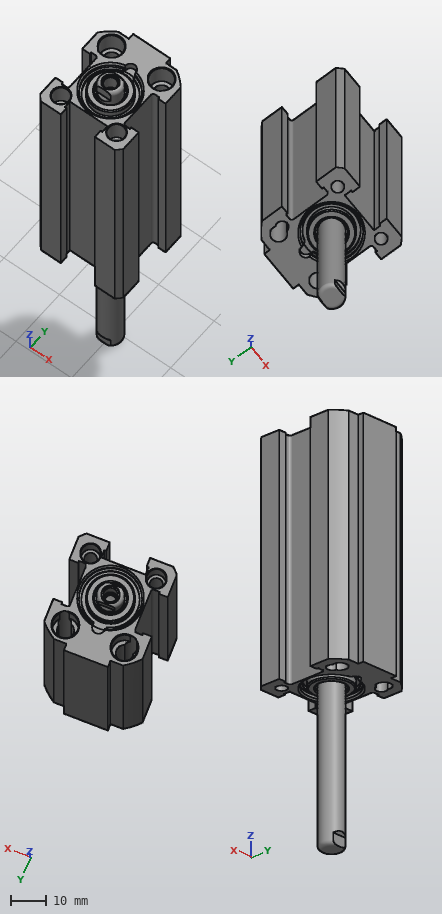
import cadquery as cq
import math

housing_length = 78.0
half_width = 15.0
shoulder_y = 17.0
tab_top_y = 19.0
corner_radius = 20.0
rod_top_reach = 4.5
rod_bottom_reach = 50.5
mid_height = housing_length / 2

slot_mouth_half = 6.15
slot_inner_half = 6.75
tab_half_width = 6.7
slot_lip = 2.7
side_slot_floor = 9.9
front_slot_floor = 10.0
slot_fillet = 0.8

bolt_offset = 10.0
bolt_diameter = 3.7
bolt_counterbore = 5.6
counterbore_depth = 7.0
counterbore_chamfer = 0.2
port_x = 9.0
port_y = 12.0
port_diameter = 4.9
port_counterbore = 7.5
port_chamfer = 0.25

piston_bore = 16.0
end_bore = 17.9
bore_mouth = 19.0
notch_diameter = 3.7
notch_y = 9.2
notch_depth = 2.5

ring_recess = 1.5
ring_thickness = 1.0
ring_groove_diameter = 19.0
ring_inner_diameter = 16.5
ring_gap = 4.0
collar_boss_diameter = 14.0
boss_chamfer = 0.4
collar_length = 12.0
collar_mouth_diameter = 9.2
collar_mouth_depth = 1.5
collar_mouth_chamfer = 0.4

rod_diameter = 8.0
rod_end_fillet = 1.3
flat_half_width = 3.1
flat_length = 3.6
cutter_margin = 1.0
socket_mouth_diameter = 5.2
socket_mouth_depth = 0.8
thread_diameter = 4.13
thread_depth = 6.0
pilot_diameter = 3.24
pilot_depth = 8.0
drill_point_angle = 118.0


def cylinder(diameter, bottom, top, x=0.0, y=0.0):
    """Upright cylinder between two heights."""
    return cq.Workplane("XY", origin=(x, y, bottom)).circle(diameter / 2).extrude(top - bottom)


def cone(bottom_diameter, top_diameter, bottom, top, x=0.0, y=0.0):
    """Upright cone frustum between two heights."""
    solid = cq.Solid.makeCone(
        bottom_diameter / 2, top_diameter / 2, top - bottom, cq.Vector(x, y, bottom), cq.Vector(0, 0, 1)
    )
    return cq.Workplane(solid)


def mirrored_end(shape):
    """The same shape at the opposite end of the housing."""
    return shape.mirror("XY", (0, 0, mid_height))


def housing_profile():
    """T-slotted section with round outer corners, extruded over the full length."""
    corner_y = math.sqrt(corner_radius**2 - half_width**2)
    shoulder_x = math.sqrt(corner_radius**2 - shoulder_y**2)
    diagonal = corner_radius * math.sqrt(0.5)
    lip_inner = half_width - slot_lip
    return (
        cq.Workplane("XY")
        .moveTo(0, tab_top_y)
        .lineTo(tab_half_width, tab_top_y)
        .lineTo(tab_half_width, shoulder_y)
        .lineTo(shoulder_x, shoulder_y)
        .threePointArc((diagonal, diagonal), (half_width, corner_y))
        .lineTo(half_width, slot_mouth_half)
        .lineTo(lip_inner, slot_mouth_half)
        .lineTo(lip_inner, slot_inner_half)
        .lineTo(side_slot_floor, slot_inner_half)
        .lineTo(side_slot_floor, -slot_inner_half)
        .lineTo(lip_inner, -slot_inner_half)
        .lineTo(lip_inner, -slot_mouth_half)
        .lineTo(half_width, -slot_mouth_half)
        .lineTo(half_width, -corner_y)
        .threePointArc((diagonal, -diagonal), (corner_y, -half_width))
        .lineTo(slot_mouth_half, -half_width)
        .lineTo(slot_mouth_half, -lip_inner)
        .lineTo(slot_inner_half, -lip_inner)
        .lineTo(slot_inner_half, -front_slot_floor)
        .lineTo(0, -front_slot_floor)
        .mirrorY()
        .extrude(housing_length)
    )


def round_side_slots(body):
    """Fillet the inner corners of the two side slots."""
    for side in (-1, 1):
        for end in (-1, 1):
            corner = (side * side_slot_floor, end * slot_inner_half, mid_height)
            body = body.edges(cq.selectors.NearestToPointSelector(corner)).fillet(slot_fillet)
    return body


def counterbore(diameter, chamfer, x, y):
    """Chamfered counterbore sunk from the top face."""
    pocket = cylinder(diameter, housing_length - counterbore_depth, housing_length, x, y)
    mouth = cone(diameter, diameter + 2 * chamfer, housing_length - chamfer, housing_length, x, y)
    return pocket.union(mouth)


def bore_end():
    """Ring groove, end bore, chamfered mouth and release notch at the top end."""
    collar_bottom = housing_length - ring_recess - ring_thickness - collar_length
    groove_top = housing_length - ring_recess
    mouth_chamfer = (bore_mouth - end_bore) / 2
    return (
        cylinder(end_bore, collar_bottom, housing_length)
        .union(cylinder(ring_groove_diameter, groove_top - ring_thickness, groove_top))
        .union(cone(end_bore, bore_mouth, housing_length - mouth_chamfer, housing_length))
        .union(cylinder(notch_diameter, housing_length - notch_depth, housing_length, y=notch_y))
    )


def make_housing():
    body = round_side_slots(housing_profile())
    for side in (-1, 1):
        for end in (-1, 1):
            body = body.cut(cylinder(bolt_diameter, 0, housing_length, side * bolt_offset, end * bolt_offset))
        body = body.cut(cylinder(port_diameter, 0, housing_length, side * port_x, port_y))
        body = body.cut(counterbore(bolt_counterbore, counterbore_chamfer, side * bolt_offset, -bolt_offset))
        body = body.cut(counterbore(port_counterbore, port_chamfer, side * port_x, port_y))
    body = body.cut(cylinder(piston_bore, 0, housing_length))
    return body.cut(bore_end()).cut(mirrored_end(bore_end()))


def make_collar():
    flange_top = housing_length - ring_recess - ring_thickness
    bottom = flange_top - collar_length
    mouth_wide = collar_mouth_diameter + 2 * collar_mouth_chamfer
    boss = cylinder(collar_boss_diameter, bottom, housing_length).faces(">Z").edges().chamfer(boss_chamfer)
    return (
        cylinder(end_bore, bottom, flange_top)
        .union(boss)
        .cut(cylinder(rod_diameter, bottom, housing_length))
        .cut(cylinder(collar_mouth_diameter, housing_length - collar_mouth_depth, housing_length))
        .cut(cone(collar_mouth_diameter, mouth_wide, housing_length - collar_mouth_chamfer, housing_length))
    )


def make_retaining_ring():
    top = housing_length - ring_recess
    bottom = top - ring_thickness
    gap = (
        cq.Workplane("XY", origin=(0, 0, bottom))
        .rect(ring_gap, ring_groove_diameter)
        .extrude(ring_thickness)
        .translate((0, ring_groove_diameter / 2, 0))
    )
    ring = cylinder(ring_groove_diameter, bottom, top).cut(cylinder(ring_inner_diameter, bottom, top))
    return ring.cut(gap)


def flat_cutter(end_height, direction):
    """Wedge that cuts one wrench flat running out at 45 degrees; direction points out of the rod end."""
    run_out = end_height - direction * flat_length
    clearance = rod_diameter / 2 - flat_half_width + cutter_margin
    return (
        cq.Workplane("YZ")
        .moveTo(flat_half_width, end_height)
        .lineTo(flat_half_width + clearance, end_height)
        .lineTo(flat_half_width + clearance, run_out - direction * clearance)
        .lineTo(flat_half_width, run_out)
        .close()
        .extrude(rod_diameter, both=True)
    )


def socket(top):
    """Counterbored threaded hole over a narrower pilot with a drill point."""
    pilot_bottom = top - pilot_depth
    point_height = pilot_diameter / 2 / math.tan(math.radians(drill_point_angle / 2))
    return (
        cylinder(pilot_diameter, pilot_bottom, top)
        .union(cylinder(thread_diameter, top - thread_depth, top))
        .union(cone(0, pilot_diameter, pilot_bottom - point_height, pilot_bottom))
        .union(cylinder(socket_mouth_diameter, top - socket_mouth_depth, top))
    )


def make_rod():
    top = housing_length + rod_top_reach
    bottom = -rod_bottom_reach
    rod = cylinder(rod_diameter, bottom, top).edges("%CIRCLE").fillet(rod_end_fillet)
    for end_height, direction in ((top, 1), (bottom, -1)):
        cutter = flat_cutter(end_height, direction)
        rod = rod.cut(cutter).cut(cutter.mirror("XZ"))
    return rod.cut(socket(top))


housing = make_housing()
rod = make_rod()
collar = make_collar()
retaining_ring = make_retaining_ring()

collars = [collar, mirrored_end(collar)]
retaining_rings = [retaining_ring, mirrored_end(retaining_ring)]

result = cq.Compound.makeCompound(
    [housing.val(), rod.val()]
    + [part.val() for part in collars]
    + [part.val() for part in retaining_rings]
)